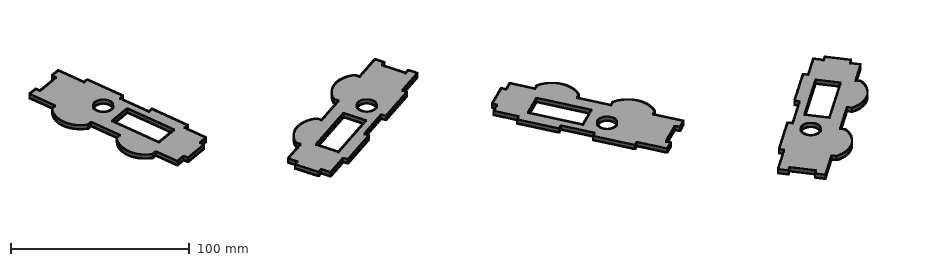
import cadquery as cq

thickness = 3.0
overall_length = 106.0
body_length = overall_length - thickness
body_width = 27.0

tab_length = 25.0
first_tab_start = 18.0
tab_gap = 20.0
tab_starts = (first_tab_start, first_tab_start + tab_length + tab_gap)
lobe_depth = 9.0

end_tab_width = 15.0
body_mid_y = body_width / 2

hole_diameter = 11.2
hole_x = 39.5
hole_y = 16.0
window_length = 32.5
window_width = 14.2
window_left = 51.8
window_bottom = 7.8


def block(left, bottom, length, width):
    """Box of sheet thickness with its lower left corner at (left, bottom)."""
    return cq.Workplane("XY").box(length, width, thickness, centered=False).translate((left, bottom, 0))


def lobe(left):
    """Lobe with short straight sides and an arc, below the lower long edge."""
    right = left + tab_length
    return (
        cq.Workplane("XY")
        .moveTo(left, 0)
        .lineTo(left, -thickness)
        .threePointArc((left + tab_length / 2, -lobe_depth), (right, -thickness))
        .lineTo(right, 0)
        .close()
        .extrude(thickness)
    )


plate = block(0, 0, body_length, body_width)
for start in tab_starts:
    plate = plate.union(block(start, body_width, tab_length, thickness))
    plate = plate.union(lobe(start))

end_tab_bottom = body_mid_y - end_tab_width / 2
plate = plate.union(block(body_length, end_tab_bottom, thickness, end_tab_width))
plate = plate.cut(block(0, end_tab_bottom, thickness, end_tab_width))

hole = cq.Workplane("XY").center(hole_x, hole_y).circle(hole_diameter / 2).extrude(thickness)
window = block(window_left, window_bottom, window_length, window_width)

result = plate.cut(hole).cut(window)